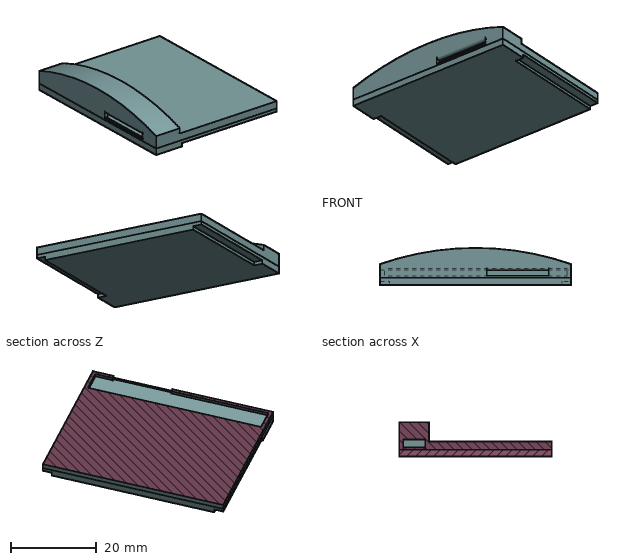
import cadquery as cq

width = 44.6
length = 35.6
height = 8.7

base_height = 1.7
step_height = 0.85
step_inset = 2.25
step_start = 7.65

cover_top = 3.55
head_length = 7.0
head_side_top = 4.9

slot_left = 2.65
slot_width = 14.45
slot_bottom = 2.2
slot_lip_radius = 0.5
slot_top = 3.45
slot_mouth_top = slot_top + slot_lip_radius

wall = 1.0
cavity_width = width - 2 * wall
cavity_length = head_length - 2 * wall
board_thickness = slot_bottom - base_height
tongue_front = 0.6


def box(x_size, y_size, z_size, x_min, y_min, z_min):
    """Axis-aligned block placed by its lowest corner."""
    return cq.Workplane("XY").box(x_size, y_size, z_size, centered=False).translate((x_min, y_min, z_min))


def make_base():
    base = box(width, length, base_height, -width / 2, 0, 0)
    for x_min in (-width / 2, width / 2 - step_inset):
        base = base.cut(box(step_inset, length - step_start, step_height, x_min, step_start, 0))
    return base


def make_head():
    """Block with a circular-arc top, running across the front of the housing."""
    return (
        cq.Workplane("XZ")
        .moveTo(-width / 2, base_height)
        .lineTo(width / 2, base_height)
        .lineTo(width / 2, head_side_top)
        .threePointArc((0, height), (-width / 2, head_side_top))
        .close()
        .extrude(-head_length)
    )


def make_slot():
    """Cutter for the slot; its top flares upward around a rounded lip at the mouth."""
    return (
        cq.Workplane("YZ", origin=(slot_left, 0, 0))
        .moveTo(0, slot_bottom)
        .lineTo(wall, slot_bottom)
        .lineTo(wall, slot_top)
        .lineTo(slot_lip_radius, slot_top)
        .radiusArc((0, slot_mouth_top), slot_lip_radius)
        .close()
        .extrude(slot_width)
    )


def make_board():
    """Circuit board covering the cavity floor, its top flush with the bottom of the slot."""
    panel = box(cavity_width, cavity_length, board_thickness, -cavity_width / 2, wall, base_height)
    tongue = box(slot_width, wall - tongue_front, board_thickness, slot_left, tongue_front, base_height)
    return panel.union(tongue)


def make_housing(board):
    """Cover and head in one piece, hollowed for the cavity, the slot and the board."""
    cover = box(width, length, cover_top - base_height, -width / 2, 0, base_height)
    cavity = box(
        cavity_width, cavity_length, slot_mouth_top - base_height, -cavity_width / 2, wall, base_height
    )
    return cover.union(make_head()).cut(cavity).cut(make_slot()).cut(board)


base = make_base()
board = make_board()
housing = make_housing(board)

result = cq.Compound.makeCompound([base.val(), *housing.solids().vals(), *board.solids().vals()])